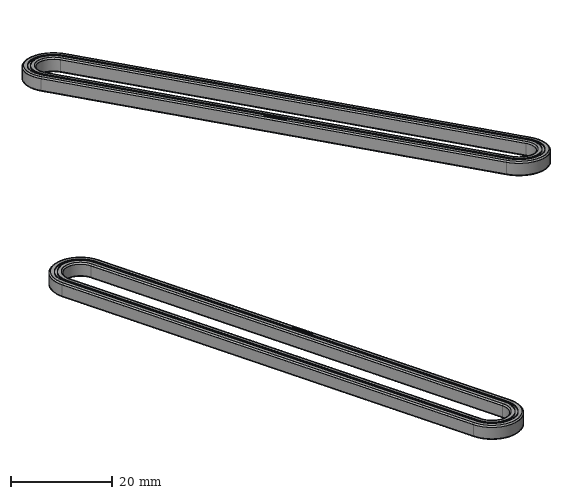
import cadquery as cq

length = 112.5
width = 12.5
height = 3.2

opening_width = 7.0
edge_chamfer = 0.3
groove_width = 0.6
groove_depth = 0.2

mark_length = 4.7
mark_width = 0.3
mark_depth = 0.1

band_width = (width - opening_width) / 2
groove_inset = (band_width - groove_width) / 2
top_z = height / 2


def racetrack(inset, thickness):
    """Solid with straight sides and round ends, inset evenly from the outer outline."""
    return cq.Workplane("XY").slot2D(length - 2 * inset, width - 2 * inset).extrude(thickness)


def racetrack_ring(outer_inset, ring_width, thickness):
    """Racetrack-shaped ring of even width, resting on the XY plane."""
    outer = racetrack(outer_inset, thickness)
    return outer.cut(racetrack(outer_inset + ring_width, thickness))


band = racetrack_ring(0, band_width, height).translate((0, 0, -height / 2))
band = band.faces("|Z").edges().chamfer(edge_chamfer)

groove = racetrack_ring(groove_inset, groove_width, groove_depth)
groove = groove.translate((0, 0, top_z - groove_depth))

land_centre_inset = (edge_chamfer + groove_inset) / 2
mark = (
    cq.Workplane("XY")
    .box(mark_length, mark_width, mark_depth, centered=(True, True, False))
    .translate((0, land_centre_inset - width / 2, top_z - mark_depth))
)

result = band.cut(groove).cut(mark)